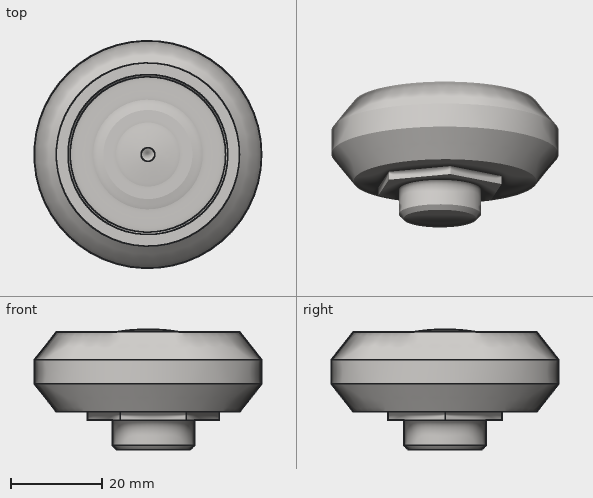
import cadquery as cq
import math

wheel_diameter = 49.8
face_diameter = 40.1
wheel_height = 17.5
rim_width = 5.2

recess_diameter = 35.0
recess_depth = 0.5

hub_base_diameter = 24.0
hub_top_diameter = 19.5

dome_diameter = 14.0
mark_diameter = 3.0
mark_angle = 120.0
dome_rise = 0.57

eccentricity = 1.2
hex_across_flats = 25.0
hex_thickness = 1.8
spigot_diameter = 18.0
spigot_length = 6.5
spigot_chamfer = 1.0


def wheel():
    """Revolve the half section of the wheel, from the axis outwards and back."""
    wheel_radius = wheel_diameter / 2
    face_radius = face_diameter / 2
    recess_radius = recess_diameter / 2
    dome_radius = dome_diameter / 2
    mark_radius = mark_diameter / 2

    bevel_height = (wheel_height - rim_width) / 2
    floor_height = wheel_height - recess_depth
    mark_rim_height = wheel_height + dome_rise
    mark_depth = mark_radius / math.tan(math.radians(mark_angle / 2))

    centre_drop = (dome_radius**2 - mark_radius**2 - dome_rise**2) / (2 * dome_rise)
    sphere_radius = math.hypot(dome_radius, centre_drop)
    arc_middle_radius = (dome_radius + mark_radius) / 2
    arc_middle_rise = math.sqrt(sphere_radius**2 - arc_middle_radius**2) - centre_drop

    section = (
        cq.Workplane("XZ")
        .moveTo(0, 0)
        .lineTo(face_radius, 0)
        .lineTo(wheel_radius, bevel_height)
        .lineTo(wheel_radius, bevel_height + rim_width)
        .lineTo(face_radius, wheel_height)
        .lineTo(recess_radius, wheel_height)
        .lineTo(recess_radius - recess_depth, floor_height)
        .lineTo(hub_base_diameter / 2, floor_height)
        .lineTo(hub_top_diameter / 2, wheel_height)
        .lineTo(dome_radius, wheel_height)
        .threePointArc(
            (arc_middle_radius, wheel_height + arc_middle_rise),
            (mark_radius, mark_rim_height),
        )
        .lineTo(0, mark_rim_height - mark_depth)
        .close()
    )
    return section.revolve(360, (0, 0, 0), (0, 1, 0))


def eccentric_mount():
    """Hexagon with corners along X, and the chamfered spigot below it."""
    hex_across_corners = hex_across_flats / math.cos(math.pi / 6)
    mount_plane = cq.Workplane("XY").center(eccentricity, 0)
    hexagon = mount_plane.polygon(6, hex_across_corners).extrude(-hex_thickness)
    spigot = (
        mount_plane.workplane(offset=-hex_thickness)
        .circle(spigot_diameter / 2)
        .extrude(-spigot_length)
        .faces("<Z")
        .chamfer(spigot_chamfer)
    )
    return hexagon.union(spigot)


result = wheel().union(eccentric_mount())